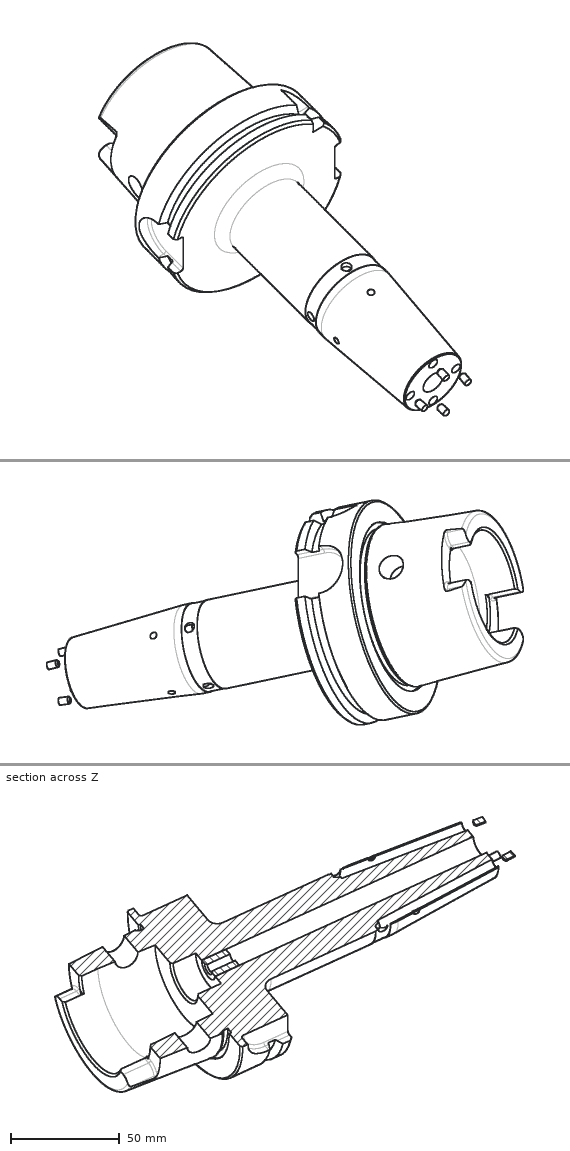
import cadquery as cq
import math

TAPER_END = 47.3
FLANGE_FRONT = 50.0
GROOVE_CENTRE = 70.0
FLANGE_REAR = 79.0
BAND_START = 140.8
BAND_END = 148.7
CONE_START = 152.7
NOSE_END = 209.9
OVERALL_LENGTH = 220.0

TAPER_SMALL_RADIUS = 35.6
TAPER_LARGE_RADIUS = 38.0
TAPER_EDGE_ROUND = 1.8
NECK_RADIUS = 37.5
UNDERCUT_START = 48.5
UNDERCUT_RADIUS = 36.7
BORE_RADIUS = 26.5
BORE_MOUTH_CHAMFER = 1.0
BORE_STRAIGHT_DEPTH = 19.8
BORE_DEPTH = 50.0
BORE_FLOOR_RADIUS = 25.0
TUBE_THREAD_RADIUS = 12.0
TUBE_THREAD_CHAMFER = 1.0
TUBE_THREAD_DEPTH = 13.2
CLAMP_HOLE_RADIUS = 6.0
CLAMP_HOLE_X = 35.0

NOTCH_WIDTH = 20.0
NOTCH_DEPTH_MINUS_Y = 14.7
NOTCH_DEPTH_PLUS_Y = 10.1
NOTCH_FLAT_OFFSET = 32.3
NOTCH_EDGE_ROUND = 4.6
NOTCH_END_ROUND = 1.0

FLANGE_DIAMETER = 100.0
FLANGE_RADIUS = FLANGE_DIAMETER / 2
FLANGE_FRONT_CHAMFER = 0.9
FLANGE_REAR_CHAMFER = 1.3
RECESS_RADIUS = 39.5
RECESS_DEPTH = 1.0
GROOVE_FLOOR_RADIUS = 46.2
GROOVE_FLOOR_WIDTH = 3.7
GROOVE_MOUTH_WIDTH = 7.0
KEYWAY_WIDTH = 24.2
KEYWAY_FLOOR_OFFSET = 44.0
KEYWAY_END_X = 53.7
KEYWAY_FLOOR_ROUND = 1.3
INDEX_NOTCH_OFFSET = 31.5
INDEX_CUTTER_RADIUS = 10.8
INDEX_NOTCH_START = 65.3

SHANK_RADIUS = 21.0
SHANK_FILLET = 5.0
BAND_RADIUS = 20.7
NOSE_RADIUS = 16.7
NOSE_CHAMFER = 0.5
STOP_BORE_RADIUS = 5.7

CHANNEL_COUNT = 4
CROSS_HOLE_X = 144.7
CHANNEL_RADIUS = 2.5
DRILL_TIP_ANGLE = 118.0
PLUG_X = 163.2
PLUG_RADIUS = 1.65
PLUG_LENGTH = 1.0
SCREW_RADIUS = 1.8
SCREW_LENGTH = 5.3
SCREW_CHAMFER = 0.7
SCREW_AXIS_RADIUS = 12.5

STOP_SCREW_LENGTH = 13.2
STOP_SCREW_HOLE_RADIUS = 2.2
STOP_SCREW_HOLE_CHAMFER = 0.9

CUT_MARGIN = 11.0
SELECT_MARGIN = 0.2

cone_slope = (SHANK_RADIUS - NOSE_RADIUS) / (NOSE_END - CONE_START)
cone_angle = math.degrees(math.atan(cone_slope))
screw_end_x = OVERALL_LENGTH - SCREW_RADIUS * math.sin(math.radians(cone_angle))
channel_axis_at_cross_hole = SCREW_AXIS_RADIUS + (screw_end_x - CROSS_HOLE_X) * cone_slope
tube_thread_end = BORE_DEPTH + TUBE_THREAD_DEPTH
plug_top = SHANK_RADIUS - (PLUG_X + PLUG_RADIUS - CONE_START) * cone_slope
plug_bottom = plug_top - PLUG_LENGTH


def x_cylinder(radius, start, end):
    return cq.Workplane("YZ").workplane(offset=start).circle(radius).extrude(end - start)


def turn(outline):
    """Revolve an outline drawn in the XY plane about the tool axis."""
    return outline.revolve(360, (0, 0, 0), (1, 0, 0))


def turned_body():
    """Solid turned shape of the holder: taper, neck, grooved flange, shank and nose cone."""
    mouth = GROOVE_MOUTH_WIDTH / 2
    floor = GROOVE_FLOOR_WIDTH / 2
    fillet_offset = SHANK_FILLET * (1 - math.sqrt(0.5))
    outline = (
        cq.Workplane("XY")
        .moveTo(0, 0)
        .lineTo(0, TAPER_SMALL_RADIUS - TAPER_EDGE_ROUND)
        .radiusArc((TAPER_EDGE_ROUND, TAPER_SMALL_RADIUS), TAPER_EDGE_ROUND)
        .lineTo(TAPER_END, TAPER_LARGE_RADIUS)
        .lineTo(TAPER_END, NECK_RADIUS)
        .lineTo(UNDERCUT_START, NECK_RADIUS)
        .lineTo(UNDERCUT_START, UNDERCUT_RADIUS)
        .lineTo(FLANGE_FRONT + RECESS_DEPTH, UNDERCUT_RADIUS)
        .lineTo(FLANGE_FRONT + RECESS_DEPTH, RECESS_RADIUS)
        .lineTo(FLANGE_FRONT, RECESS_RADIUS)
        .lineTo(FLANGE_FRONT, FLANGE_RADIUS - FLANGE_FRONT_CHAMFER)
        .lineTo(FLANGE_FRONT + FLANGE_FRONT_CHAMFER, FLANGE_RADIUS)
        .lineTo(GROOVE_CENTRE - mouth, FLANGE_RADIUS)
        .lineTo(GROOVE_CENTRE - floor, GROOVE_FLOOR_RADIUS)
        .lineTo(GROOVE_CENTRE + floor, GROOVE_FLOOR_RADIUS)
        .lineTo(GROOVE_CENTRE + mouth, FLANGE_RADIUS)
        .lineTo(FLANGE_REAR - FLANGE_REAR_CHAMFER, FLANGE_RADIUS)
        .lineTo(FLANGE_REAR, FLANGE_RADIUS - FLANGE_REAR_CHAMFER)
        .lineTo(FLANGE_REAR, SHANK_RADIUS + SHANK_FILLET)
        .threePointArc(
            (FLANGE_REAR + fillet_offset, SHANK_RADIUS + fillet_offset),
            (FLANGE_REAR + SHANK_FILLET, SHANK_RADIUS),
        )
        .lineTo(BAND_START, SHANK_RADIUS)
        .lineTo(BAND_START, BAND_RADIUS)
        .lineTo(BAND_END, BAND_RADIUS)
        .lineTo(BAND_END, SHANK_RADIUS)
        .lineTo(CONE_START, SHANK_RADIUS)
        .lineTo(NOSE_END - NOSE_CHAMFER, NOSE_RADIUS + NOSE_CHAMFER * cone_slope)
        .lineTo(NOSE_END, NOSE_RADIUS - NOSE_CHAMFER)
        .lineTo(NOSE_END, 0)
        .close()
    )
    return turn(outline)


def inner_bore():
    """Cutter for the hollow of the taper, the coolant tube thread and the stop screw bore."""
    outline = (
        cq.Workplane("XY")
        .moveTo(0, 0)
        .lineTo(0, BORE_RADIUS + BORE_MOUTH_CHAMFER)
        .lineTo(BORE_MOUTH_CHAMFER, BORE_RADIUS)
        .lineTo(BORE_STRAIGHT_DEPTH, BORE_RADIUS)
        .lineTo(BORE_DEPTH, BORE_FLOOR_RADIUS)
        .lineTo(BORE_DEPTH, TUBE_THREAD_RADIUS)
        .lineTo(BORE_DEPTH + TUBE_THREAD_CHAMFER, TUBE_THREAD_RADIUS - TUBE_THREAD_CHAMFER)
        .lineTo(tube_thread_end, TUBE_THREAD_RADIUS - TUBE_THREAD_CHAMFER)
        .lineTo(tube_thread_end, STOP_BORE_RADIUS)
        .lineTo(NOSE_END, STOP_BORE_RADIUS)
        .lineTo(NOSE_END, 0)
        .close()
    )
    return turn(outline)


def drive_notch(depth, side):
    """Cutter for one notch: a slot that flares with rounded edges into a flat on the taper."""
    half = NOTCH_WIDTH / 2
    shoulder = NOTCH_FLAT_OFFSET - NOTCH_EDGE_ROUND
    flare = half + NOTCH_EDGE_ROUND
    outer = TAPER_LARGE_RADIUS + CUT_MARGIN
    wide = TAPER_LARGE_RADIUS
    inner = BORE_FLOOR_RADIUS / 2
    mid = NOTCH_EDGE_ROUND * math.sqrt(0.5)
    cutter = (
        cq.Workplane("YZ")
        .workplane(offset=-CUT_MARGIN)
        .moveTo(inner, -half)
        .lineTo(shoulder, -half)
        .threePointArc((shoulder + mid, -flare + mid), (NOTCH_FLAT_OFFSET, -flare))
        .lineTo(NOTCH_FLAT_OFFSET, -wide)
        .lineTo(outer, -wide)
        .lineTo(outer, wide)
        .lineTo(NOTCH_FLAT_OFFSET, wide)
        .lineTo(NOTCH_FLAT_OFFSET, flare)
        .threePointArc((shoulder + mid, flare - mid), (shoulder, half))
        .lineTo(inner, half)
        .close()
        .extrude(depth + CUT_MARGIN)
    )
    end_edges = cq.selectors.BoxSelector(
        (depth - SELECT_MARGIN, inner + SELECT_MARGIN, -flare - SELECT_MARGIN),
        (depth + SELECT_MARGIN, NOTCH_FLAT_OFFSET + SELECT_MARGIN, flare + SELECT_MARGIN),
    )
    cutter = cutter.edges(end_edges).fillet(NOTCH_END_ROUND)
    return cutter if side > 0 else cutter.mirror("XZ")


def notch_bore_chamfer(depth, side):
    """Cutter that carries the bore's mouth chamfer along the end of one notch."""
    cone = (
        cq.Workplane("YZ")
        .workplane(offset=depth)
        .circle(BORE_RADIUS + BORE_MOUTH_CHAMFER)
        .workplane(offset=BORE_MOUTH_CHAMFER)
        .circle(BORE_RADIUS)
        .loft()
    )
    limit_height = 2 * BORE_RADIUS
    limit = cq.Workplane("XY").box(NOSE_END, limit_height, NOTCH_WIDTH)
    return cone.intersect(limit.translate((0, side * limit_height / 2, 0)))


def keyway(side):
    """Cutter for a flat-floored flange keyway with a round end, open towards the shank."""
    radius = KEYWAY_WIDTH / 2
    centre_x = KEYWAY_END_X + radius
    far_x = FLANGE_REAR + CUT_MARGIN
    cutter = (
        cq.Workplane("XZ", origin=(0, KEYWAY_FLOOR_OFFSET, 0))
        .moveTo(far_x, -radius)
        .lineTo(centre_x, -radius)
        .threePointArc((KEYWAY_END_X, 0), (centre_x, radius))
        .lineTo(far_x, radius)
        .close()
        .extrude(-CUT_MARGIN)
        .faces("<Y")
        .edges()
        .fillet(KEYWAY_FLOOR_ROUND)
    )
    return cutter if side > 0 else cutter.mirror("XZ")


def index_notch():
    """Cutter for the square-cornered orientation notch between +Y and +Z, with a milled run-out."""
    corner = (INDEX_NOTCH_START, INDEX_NOTCH_OFFSET, INDEX_NOTCH_OFFSET)
    slot_length = FLANGE_REAR - INDEX_NOTCH_START
    slot = cq.Workplane("XY", origin=corner).box(slot_length, FLANGE_RADIUS, FLANGE_RADIUS, centered=False)
    cutter_centre = (INDEX_NOTCH_START, INDEX_NOTCH_OFFSET, INDEX_NOTCH_OFFSET + INDEX_CUTTER_RADIUS)
    run_out = (
        cq.Workplane("XZ", origin=cutter_centre)
        .circle(INDEX_CUTTER_RADIUS)
        .extrude(-FLANGE_RADIUS)
    )
    return slot.union(run_out)


def around_axis(shape, index):
    return shape.rotate((0, 0, 0), (1, 0, 0), index * 360 / CHANNEL_COUNT)


def lean_inward(shape):
    """Move a shape from the tool axis to the +Z channel axis, which leans inward like the nose cone."""
    pivot = (screw_end_x, 0, SCREW_AXIS_RADIUS)
    pivot_axis_end = (screw_end_x, 1, SCREW_AXIS_RADIUS)
    return shape.translate((0, 0, SCREW_AXIS_RADIUS)).rotate(pivot, pivot_axis_end, cone_angle)


def coolant_channel():
    """Cutter for a channel drilled from the nose face to the middle of its cross hole."""
    return lean_inward(x_cylinder(CHANNEL_RADIUS, CROSS_HOLE_X, screw_end_x))


def cross_hole():
    """Cutter for a radial hole at +Z whose drill tip starts at the channel axis."""
    tip_length = CHANNEL_RADIUS / math.tan(math.radians(DRILL_TIP_ANGLE / 2))
    outline = (
        cq.Workplane("XZ", origin=(CROSS_HOLE_X, 0, channel_axis_at_cross_hole))
        .moveTo(0, -tip_length)
        .lineTo(CHANNEL_RADIUS, 0)
        .lineTo(CHANNEL_RADIUS, SHANK_RADIUS)
        .lineTo(0, SHANK_RADIUS)
        .close()
    )
    return outline.revolve(360, (0, 0, 0), (0, 1, 0))


def radial_cylinder(radius, x, bottom, top):
    return cq.Workplane("XY", origin=(x, 0, bottom)).circle(radius).extrude(top - bottom)


def make_plug():
    return radial_cylinder(PLUG_RADIUS, PLUG_X, plug_bottom, plug_top)


def make_jet_screw():
    screw = x_cylinder(SCREW_RADIUS, screw_end_x - SCREW_LENGTH, screw_end_x)
    return lean_inward(screw.faces("<X").chamfer(SCREW_CHAMFER))


def make_stop_screw():
    screw_end = tube_thread_end + STOP_SCREW_LENGTH
    screw = x_cylinder(STOP_BORE_RADIUS, tube_thread_end, screw_end)
    hole = x_cylinder(STOP_SCREW_HOLE_RADIUS, tube_thread_end, screw_end)
    hole_edge = cq.selectors.RadiusNthSelector(0)
    return screw.cut(hole).faces("<X").edges(hole_edge).chamfer(STOP_SCREW_HOLE_CHAMFER)


def clamp_holes():
    """Cutter for the pair of opposite clamping holes through the taper wall."""
    axis_plane = cq.Workplane("XZ", origin=(CLAMP_HOLE_X, 0, 0))
    return axis_plane.circle(CLAMP_HOLE_RADIUS).extrude(FLANGE_RADIUS, both=True)


def make_holder():
    holder = turned_body().cut(inner_bore())
    for depth, side in ((NOTCH_DEPTH_PLUS_Y, 1), (NOTCH_DEPTH_MINUS_Y, -1)):
        holder = holder.cut(drive_notch(depth, side)).cut(notch_bore_chamfer(depth, side))
        holder = holder.cut(keyway(side))
    holder = holder.cut(clamp_holes()).cut(index_notch())
    plug_seat = radial_cylinder(PLUG_RADIUS, PLUG_X, plug_bottom, SHANK_RADIUS)
    for i in range(CHANNEL_COUNT):
        for cutter in (cross_hole(), coolant_channel(), plug_seat):
            holder = holder.cut(around_axis(cutter, i))
    return holder


holder = make_holder()
plugs = [around_axis(make_plug(), i) for i in range(CHANNEL_COUNT)]
jet_screws = [around_axis(make_jet_screw(), i) for i in range(CHANNEL_COUNT)]
stop_screw = make_stop_screw()
result = cq.Compound.makeCompound(
    [holder.val(), stop_screw.val(), *[p.val() for p in plugs], *[s.val() for s in jet_screws]]
)